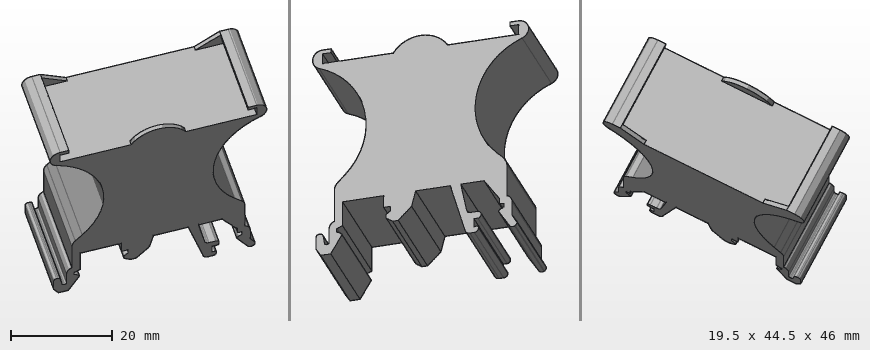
import cadquery as cq
import math

width = 19.5
height = 46.0
span = 44.5

arm_radius = 2.05
arm_y = span / 2 - arm_radius
arm_z = height - arm_radius
waist_half = 11.22
waist_z = 27.88
side_half = 17.75
shoulder_round = 2.3
underside_z = 11.25
deck_z = 42.95
lip_y = 18.4
lip_slope = math.radians(30)

wall = 0.9
lip_thickness = 0.87

tab_half = 5.6
tab_thickness = 0.9

overlap = 0.9
foot_top = underside_z + overlap
step_y = 18.85
step_top = 7.2
step_corner_z = 6.65
step_round = 1.8


def extrude_outline(points):
    """Extrude a closed (y, z, corner radius) outline over the full width; radius 0 is a sharp corner."""
    line = None
    for index, (y, z, radius) in enumerate(points):
        corner = cq.Vector(y, z, 0)
        before = cq.Vector(*points[index - 1][:2], 0) - corner
        after = cq.Vector(*points[(index + 1) % len(points)][:2], 0) - corner
        half_angle = before.getAngle(after) / 2
        setback = radius / math.tan(half_angle)
        start = corner + before.normalized() * setback
        end = corner + after.normalized() * setback
        if line is None:
            line = cq.Workplane("YZ").moveTo(start.x, start.y)
        else:
            line = line.lineTo(start.x, start.y)
        if radius > 0:
            bisector = (before.normalized() + after.normalized()).normalized()
            middle = corner + bisector * (radius / math.sin(half_angle) - radius)
            line = line.threePointArc((middle.x, middle.y), (end.x, end.y))
    return line.close().extrude(width)


def make_body():
    rise = arm_z - waist_z
    inset = arm_y - waist_half
    flank_radius = (inset**2 + rise**2 - arm_radius**2) / (2 * (inset + arm_radius))
    flank_y = waist_half + flank_radius
    blend = arm_radius / (arm_radius + flank_radius)
    blend_y = arm_y + (flank_y - arm_y) * blend
    blend_z = arm_z - rise * blend
    shoulder_y = flank_y - flank_radius * math.cos(math.pi / 4)
    shoulder_z = waist_z - flank_radius * math.sin(math.pi / 4)
    corner_z = shoulder_z - (side_half - shoulder_y)
    setback = shoulder_round * math.tan(math.pi / 8)
    diagonal_setback = setback * math.cos(math.pi / 4)
    round_middle_y = side_half - shoulder_round * (1 - math.cos(math.pi / 8))
    round_middle_z = corner_z - setback + shoulder_round * math.sin(math.pi / 8)
    foot_y = lip_y - (height - deck_z) / math.tan(lip_slope)
    half = (
        cq.Workplane("YZ")
        .moveTo(0, deck_z)
        .lineTo(foot_y, deck_z)
        .lineTo(lip_y, height)
        .lineTo(arm_y, height)
        .threePointArc((arm_y + arm_radius, arm_z), (blend_y, blend_z))
        .threePointArc((waist_half, waist_z), (shoulder_y, shoulder_z))
        .lineTo(side_half - diagonal_setback, corner_z + diagonal_setback)
        .threePointArc((round_middle_y, round_middle_z), (side_half, corner_z - setback))
        .lineTo(side_half, underside_z)
        .lineTo(0, underside_z)
        .close()
        .extrude(width)
    )
    return half.union(half.mirror("XZ"))


def make_trough():
    """Space above the deck, with an undercut below each lip."""
    length = width - wall
    depth = height - deck_z
    undercut = cq.Workplane().box(length, 2 * arm_y, depth - lip_thickness, centered=(False, True, False))
    opening = cq.Workplane().box(length, 2 * lip_y, depth, centered=(False, True, False))
    return undercut.union(opening).translate((wall, 0, deck_z))


def make_tab():
    rise = height - deck_z
    return (
        cq.Workplane("YZ", origin=(width - tab_thickness, 0, 0))
        .moveTo(-tab_half, deck_z)
        .threePointArc((0, height), (tab_half, deck_z))
        .lineTo(tab_half, deck_z - rise)
        .lineTo(-tab_half, deck_z - rise)
        .close()
        .extrude(tab_thickness)
    )


def make_slanted_leg():
    """Outer leg on the +Y side, ending in a slanted round toe."""
    return extrude_outline([
        (13.05, foot_top, 0),
        (13.05, underside_z, 0),
        (16.25, 6.75, 0),
        (16.25, 5.55, 0.2),
        (17.15, 5.55, 0.2),
        (17.15, 4.8, 0),
        (16.38, 4.32, 0.1),
        (16.0, 3.95, 0.15),
        (18.7, -0.28, 0.8),
        (20.15, 0.6, 0.8),
        (step_y, 2.6, 0),
        (step_y, step_corner_z, step_round),
        (side_half, step_top, 0),
        (side_half, foot_top, 0),
    ])


def make_spring_leg():
    """Leaning leg with a finger and a toe that point to +Y."""
    return extrude_outline([
        (8.1, foot_top, 0),
        (9.6, 4.6, 0.9),
        (12.45, 4.6, 0.7),
        (12.45, 3.1, 0.7),
        (11.0, 3.1, 0),
        (11.0, 1.35, 0),
        (11.9, 1.35, 0.35),
        (11.9, 0, 0.85),
        (9.4, 0, 1.0),
        (5.85, foot_top, 0),
    ])


def make_middle_hook():
    """Short hook whose nose points to -Y."""
    return extrude_outline([
        (-1.0, foot_top, 0),
        (-1.0, underside_z, 0),
        (-1.85, 7.95, 0),
        (-4.6, 5.25, 0),
        (-5.75, 5.25, 0),
        (-7.15, 6.15, 0.35),
        (-7.15, 6.95, 0.2),
        (-6.2, 7.7, 0),
        (-6.2, 8.65, 0.25),
        (-7.6, 8.65, 0),
        (-7.6, foot_top, 0),
    ])


def make_release_leg():
    """Outer leg on the -Y side, with an upturned release hook."""
    return extrude_outline([
        (-16.05, foot_top, 0),
        (-16.05, 5.95, 0),
        (-17.3, 5.45, 0.2),
        (-17.3, 4.8, 0),
        (-16.5, 4.32, 0.1),
        (-16.15, 3.95, 0.15),
        (-18.5, 0, 0),
        (-20.55, 0, 0),
        (-21.55, 1.5, 0),
        (-21.55, 4.8, 0.6),
        (-20.15, 4.8, 0.6),
        (-19.75, 2.25, 0.35),
        (-step_y, 2.25, 0.35),
        (-step_y, step_corner_z, step_round),
        (-side_half, step_top, 0),
        (-side_half, foot_top, 0),
    ])


result = make_body().cut(make_trough()).union(make_tab())
for foot in (make_slanted_leg(), make_spring_leg(), make_middle_hook(), make_release_leg()):
    result = result.union(foot)